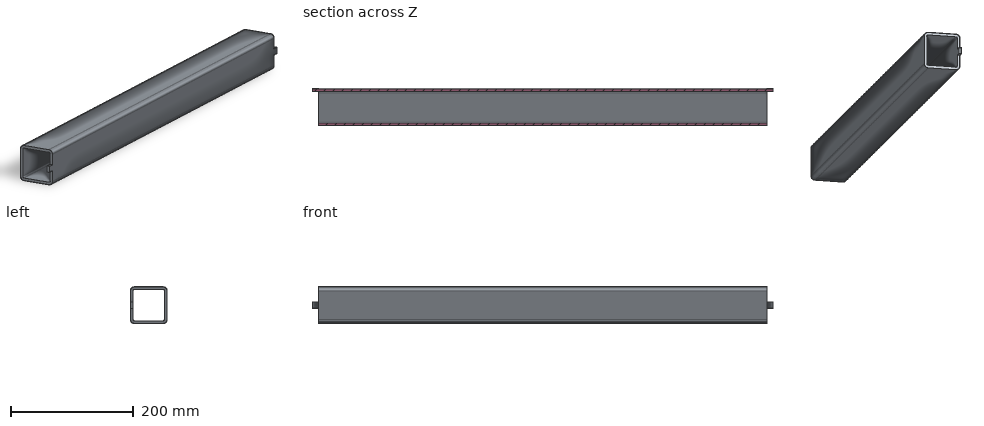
import cadquery as cq

total_length = 750.0
tube_size = 60.0
wall = 4.5
outer_radius = 7.0
tab_length = 10.0
tab_height = 10.5

tube_length = total_length - 2 * tab_length
inner_size = tube_size - 2 * wall
inner_radius = outer_radius - wall


def rounded_bar(size, radius):
    """Square bar along X, centred on the origin, with rounded long edges."""
    return cq.Workplane("XY").box(tube_length, size, size).edges("|X").fillet(radius)


def end_tab(side):
    """Flat tab extending the +Y wall past one end; side is -1 or +1 along X."""
    x_center = side * (tube_length + tab_length) / 2
    y_center = (tube_size - wall) / 2
    return cq.Workplane("XY").box(tab_length, wall, tab_height).translate((x_center, y_center, 0))


result = rounded_bar(tube_size, outer_radius).cut(rounded_bar(inner_size, inner_radius))

for side in (-1, 1):
    result = result.union(end_tab(side))